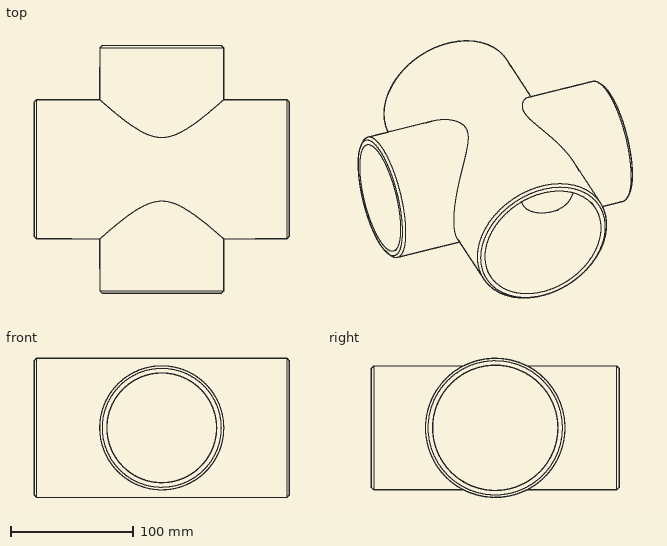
import cadquery as cq

run_length = 209.3
run_diameter = 114.3
run_bore = 102.5

branch_span = 203.2
branch_diameter = 101.7
branch_bore = 89.8

bevel = 2.0


def centred_cylinder(plane, diameter, length):
    """Cylinder centred on the origin, along the normal of the plane."""
    return cq.Workplane(plane).circle(diameter / 2).extrude(length / 2, both=True)


def bevelled_cylinder(plane, diameter, length):
    """Centred cylinder with both end edges bevelled."""
    return centred_cylinder(plane, diameter, length).edges("%CIRCLE").chamfer(bevel)


run = bevelled_cylinder("YZ", run_diameter, run_length)
branches = bevelled_cylinder("XZ", branch_diameter, branch_span)
body = run.union(branches)

run_passage = centred_cylinder("YZ", run_bore, run_length)
branch_passage = centred_cylinder("XZ", branch_bore, branch_span)

result = body.cut(run_passage).cut(branch_passage)